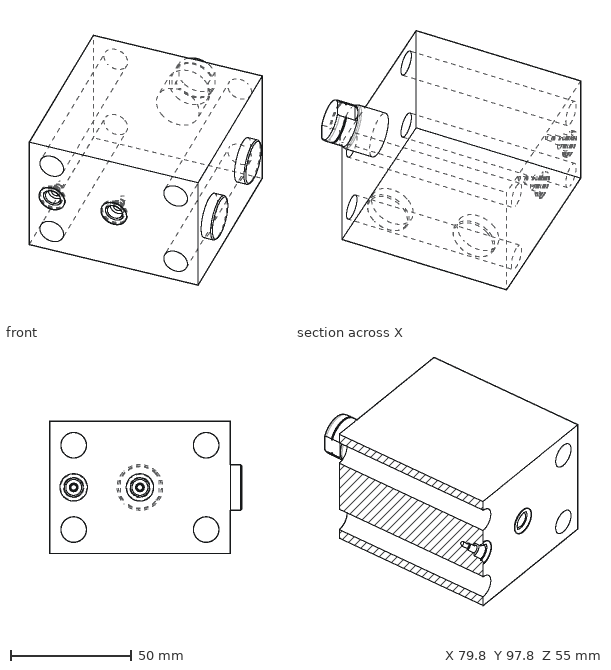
import cadquery as cq
import math

BLOCK_X = 75.0
BLOCK_Y = 75.0
BLOCK_Z = 55.0
MID_Z = BLOCK_Z / 2

MOUNT_DIAMETER = 10.5
MOUNT_INSET = 10.0

PORT_XS = (MOUNT_INSET, BLOCK_X / 2)
RING_TUBE_RADIUS = 0.92
RING_MID_RADIUS = 4.84
RING_PROTRUSION = 0.3
COUNTERBORE_RADIUS = 5.7
COUNTERBORE_DEPTH = 1.3
PORT_RADIUS = 3.3
PORT_DEPTH = 4.6
PILOT_RADIUS = 1.8
PILOT_DEPTH = 8.0
PILOT_BEVEL = 0.3
TIP_RADIUS = 1.15
TIP_DEPTH = 11.0
TIP_ANGLE = 118.0

PLUG_YS = (13.0, 52.0)
PLUG_RADIUS = 9.5
PLUG_LENGTH = 4.83
PLUG_BEVEL_LENGTH = 0.6
PLUG_BEVEL_DROP = 0.5

CONNECTOR_X = BLOCK_X / 2
CONNECTOR_LENGTH = 22.5
BODY_RADIUS = 9.5
BODY_LENGTH = 12.25
SHOULDER_RADIUS = 9.3
SHOULDER_END = 12.95
NECK_RADIUS = 8.9
NECK_START = 13.55
NECK_GROOVE_CENTRE = 18.65
NECK_GROOVE_HALF_WIDTH = 0.3
NECK_GROOVE_DEPTH = 0.3
END_BEVEL_LENGTH = 0.95
END_BEVEL_DROP = 0.2
FLAT_HALF_SPACING = 8.0


def spin_about_y(profile):
    """Solid of revolution about Y from (radius, distance along Y) points."""
    return cq.Workplane("XY").polyline(profile).close().revolve(360, (0, 0, 0), (0, 1, 0))


def make_block():
    return cq.Workplane("XY").box(BLOCK_X, BLOCK_Y, BLOCK_Z, centered=False)


def make_mounting_holes():
    centres = [
        (x, z)
        for x in (MOUNT_INSET, BLOCK_X - MOUNT_INSET)
        for z in (MOUNT_INSET, BLOCK_Z - MOUNT_INSET)
    ]
    holes = cq.Workplane("XZ").pushPoints(centres).circle(MOUNT_DIAMETER / 2)
    return holes.extrude(-BLOCK_Y)


def make_port_bore(x):
    """Counterbore, port and a stepped pilot hole that ends in a drill point."""
    tip_length = TIP_RADIUS / math.tan(math.radians(TIP_ANGLE / 2))
    profile = [
        (0, 0),
        (COUNTERBORE_RADIUS, 0),
        (COUNTERBORE_RADIUS, COUNTERBORE_DEPTH),
        (PORT_RADIUS, COUNTERBORE_DEPTH),
        (PORT_RADIUS, PORT_DEPTH),
        (PILOT_RADIUS, PORT_DEPTH),
        (PILOT_RADIUS, PILOT_DEPTH),
        (PILOT_RADIUS - PILOT_BEVEL, PILOT_DEPTH + PILOT_BEVEL),
        (TIP_RADIUS, PILOT_DEPTH + PILOT_BEVEL),
        (TIP_RADIUS, TIP_DEPTH),
        (0, TIP_DEPTH + tip_length),
    ]
    return spin_about_y(profile).translate((x, 0, MID_Z))


def make_ring(x):
    """O-ring that presses slightly into the counterbore and stands proud of the face."""
    centre = cq.Vector(x, RING_TUBE_RADIUS - RING_PROTRUSION, MID_Z)
    torus = cq.Solid.makeTorus(RING_MID_RADIUS, RING_TUBE_RADIUS, centre, cq.Vector(0, 1, 0))
    return cq.Workplane(obj=torus)


def make_plug(y):
    """Bevelled disc standing on the +X face."""
    bevel_start = PLUG_LENGTH - PLUG_BEVEL_LENGTH
    profile = [
        (0, 0),
        (0, PLUG_RADIUS),
        (bevel_start, PLUG_RADIUS),
        (PLUG_LENGTH, PLUG_RADIUS - PLUG_BEVEL_DROP),
        (PLUG_LENGTH, 0),
    ]
    plug = cq.Workplane("XY").polyline(profile).close().revolve(360, (0, 0, 0), (1, 0, 0))
    return plug.translate((BLOCK_X, y, MID_Z))


def make_connector_flat(side):
    """Wedge-ended cutter for one wrench flat; its inner end slopes out at 45 degrees."""
    cut_depth = BODY_RADIUS - FLAT_HALF_SPACING
    flat_start = NECK_START + NECK_RADIUS - FLAT_HALF_SPACING
    profile = [
        (side * FLAT_HALF_SPACING, flat_start),
        (side * FLAT_HALF_SPACING, CONNECTOR_LENGTH),
        (side * BODY_RADIUS, CONNECTOR_LENGTH),
        (side * BODY_RADIUS, flat_start - cut_depth),
    ]
    return cq.Workplane("XY").polyline(profile).close().extrude(BODY_RADIUS, both=True)


def make_connector():
    """Stepped round body with a bevelled shoulder, a V groove and two wrench flats."""
    profile = [
        (0, 0),
        (BODY_RADIUS, 0),
        (BODY_RADIUS, BODY_LENGTH),
        (SHOULDER_RADIUS, SHOULDER_END),
        (NECK_RADIUS, NECK_START),
        (NECK_RADIUS, NECK_GROOVE_CENTRE - NECK_GROOVE_HALF_WIDTH),
        (NECK_RADIUS - NECK_GROOVE_DEPTH, NECK_GROOVE_CENTRE),
        (NECK_RADIUS, NECK_GROOVE_CENTRE + NECK_GROOVE_HALF_WIDTH),
        (NECK_RADIUS, CONNECTOR_LENGTH - END_BEVEL_LENGTH),
        (NECK_RADIUS - END_BEVEL_DROP, CONNECTOR_LENGTH),
        (0, CONNECTOR_LENGTH),
    ]
    connector = spin_about_y(profile)
    for side in (-1, 1):
        connector = connector.cut(make_connector_flat(side))
    return connector.translate((CONNECTOR_X, BLOCK_Y, MID_Z))


result = make_block().cut(make_mounting_holes())
for port_x in PORT_XS:
    result = result.cut(make_port_bore(port_x)).union(make_ring(port_x))
for plug_y in PLUG_YS:
    result = result.union(make_plug(plug_y))
result = result.union(make_connector())